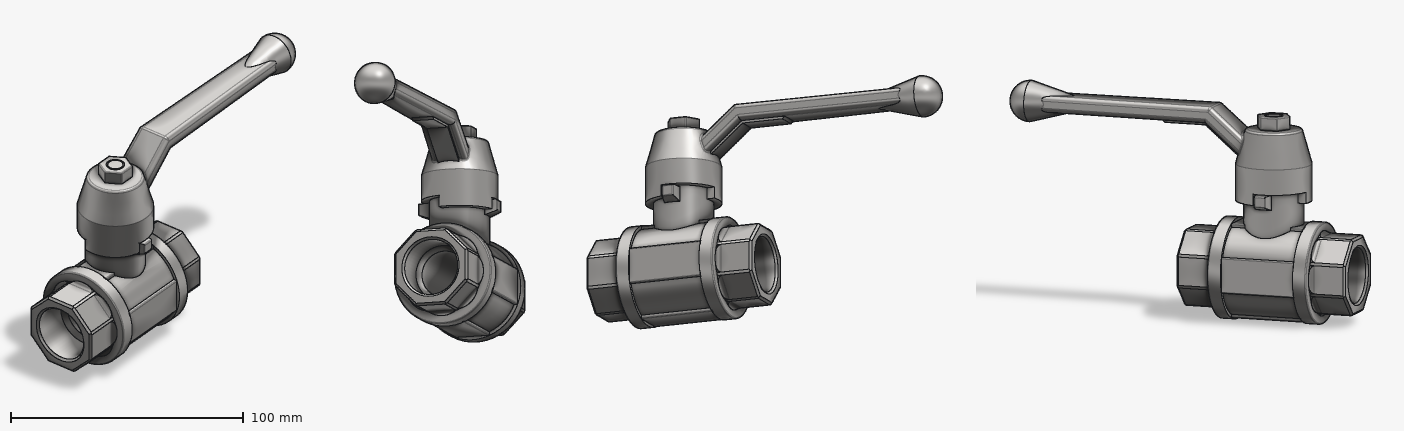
import cadquery as cq
import math


BODY_HALF_LENGTH = 38.5
FLANGE_DIAMETER = 44.0
FLANGE_INNER_Y = 16.5
FLANGE_OUTER_Y = 22.5
FLANGE_ROUNDING = 0.5
BARREL_DIAMETER = 41.0
PAD_WIDTH = 15.5
PAD_ROUNDING = 0.5
OCTAGON_FLATS = 33.3
OCTAGON_CORNER_DIAMETER = 35.5
OCTAGON_END_CHAMFER = 1.0
FLARE_LENGTH = 1.9
FLARE_WIDTH = 12.0
BORE_DIAMETER = 20.0
THREAD_DIAMETER = 24.1
THREAD_DEPTH = 15.8
THREAD_MOUTH_DIAMETER = 26.0
NECK_DIAMETER = 26.0
STUD_DIAMETER = 6.7

LUG_REACH = 17.9
LUG_ROOT_WIDTH = 7.0
LUG_TIP_WIDTH = 5.0
LUG_TOP_Z = 34.9
LUG_TIP_BOTTOM_Z = 30.1
LUG_ROOT_BOTTOM_Z = 28.4
LUG_ROUNDING = 0.5

CAP_DIAMETER = 33.0
CAP_TOP_DIAMETER = 24.4
CAP_BOTTOM_Z = 30.6
CAP_NOTCH_Z = 35.5
CAP_SHOULDER_Z = 46.6
CAP_TOP_Z = 61.7
CAP_ROUNDING = 1.1
NOTCH_STOP = 3.8

LEVER_TOP_Z = 70.5
LEVER_THICKNESS = 7.1
LEVER_END_Y = 107.0
LEVER_END_WIDTH = 13.3
LEVER_ROOT_Y = 4.8
LEVER_ROOT_WIDTH = 16.5
LEVER_ROUNDING = 2.0
LEVER_BEND_Y = 26.5
LEVER_BEND_ANGLE = 40
LEVER_BEND_ROUNDING = 1.6
CAP_BLEND = 0.8
RIB_WIDTH = 9.5
RIB_DEPTH = 1.1
RIB_END_Y = 49.1
KNOB_DIAMETER = 17.9
KNOB_TIP_Y = 120.0
KNOB_CONE_END_Y = 90.3
KNOB_CONE_END_DIAMETER = 6.7

NUT_FLATS = 12.8
NUT_HEIGHT = 5.9
NUT_ROUNDING = 0.5
NUT_HOLE_MOUTH_DIAMETER = 8

NUT_TOP_Z = CAP_TOP_Z + NUT_HEIGHT
LEVER_BOTTOM_Z = LEVER_TOP_Z - LEVER_THICKNESS
KNOB_Y = KNOB_TIP_Y - KNOB_DIAMETER / 2
KNOB_Z = LEVER_TOP_Z - LEVER_THICKNESS / 2
CLEARANCE_SIZE = 63.4


def y_cylinder(diameter, y_start, y_end, end_diameter=None):
    """Cylinder or cone along the bore axis."""
    end_radius = (end_diameter or diameter) / 2
    profile = [(0, y_start), (diameter / 2, y_start), (end_radius, y_end), (0, y_end)]
    return cq.Workplane("XY").polyline(profile).close().revolve(360, (0, 0, 0), (0, 1, 0))


def z_cylinder(diameter, z_start, z_end):
    return cq.Workplane("XY").workplane(offset=z_start).circle(diameter / 2).extrude(z_end - z_start)


def box_between(low, high):
    size = [b - a for a, b in zip(low, high)]
    return cq.Workplane("XY").box(*size, centered=False).translate(low)


def octagon_prism(flats, y_start, y_end):
    """Octagon along Y with flats facing X and Z."""
    return (
        cq.Workplane("XZ", origin=(0, y_start, 0))
        .polygon(8, flats / math.cos(math.pi / 8))
        .extrude(y_start - y_end)
        .rotate((0, 0, 0), (0, 1, 0), 22.5)
    )


def flat_flare():
    """Concave run-out from the top octagon flat up to the flange, with a bowed outer edge."""
    flat = OCTAGON_FLATS / 2
    half_width = FLARE_WIDTH / 2
    bow = (half_width**2 + FLARE_LENGTH**2) / (2 * FLARE_LENGTH)
    flare_end = FLANGE_OUTER_Y + FLARE_LENGTH
    runout = (
        cq.Workplane("YZ")
        .moveTo(FLANGE_OUTER_Y, flat - FLARE_LENGTH)
        .lineTo(flare_end, flat - FLARE_LENGTH)
        .lineTo(flare_end, flat)
        .radiusArc((FLANGE_OUTER_Y, flat + FLARE_LENGTH), FLARE_LENGTH)
        .close()
        .extrude(half_width, both=True)
    )
    bowed = y_cylinder(2 * bow, FLANGE_OUTER_Y, flare_end)
    return runout.intersect(bowed.translate((0, 0, flat + FLARE_LENGTH - bow)))


def end_connection():
    """Flange and octagonal threaded end on the +Y side."""
    octagon = octagon_prism(OCTAGON_FLATS, FLANGE_INNER_Y, BODY_HALF_LENGTH)
    octagon = octagon.faces(">Y").chamfer(OCTAGON_END_CHAMFER)
    octagon = octagon.intersect(y_cylinder(OCTAGON_CORNER_DIAMETER, FLANGE_INNER_Y, BODY_HALF_LENGTH))
    flange = y_cylinder(FLANGE_DIAMETER, FLANGE_INNER_Y, FLANGE_OUTER_Y)
    end = octagon.union(flange.faces(">Y").edges().fillet(FLANGE_ROUNDING))
    for side in range(8):
        end = end.union(flat_flare().rotate((0, 0, 0), (0, 1, 0), side * 45))
    return end


def thread_bore():
    """Threaded socket with a chamfered mouth and a conical floor on the +Y side."""
    floor_depth = (THREAD_DIAMETER - BORE_DIAMETER) / 2
    floor_y = BODY_HALF_LENGTH - THREAD_DEPTH
    chamfer = (THREAD_MOUTH_DIAMETER - THREAD_DIAMETER) / 2
    socket = y_cylinder(THREAD_DIAMETER, floor_y, BODY_HALF_LENGTH)
    floor = y_cylinder(BORE_DIAMETER, floor_y - floor_depth, floor_y, THREAD_DIAMETER)
    mouth = y_cylinder(
        THREAD_DIAMETER, BODY_HALF_LENGTH - chamfer, BODY_HALF_LENGTH, THREAD_MOUTH_DIAMETER
    )
    return socket.union(floor).union(mouth)


def lug():
    """Handle stop on the +X side of the neck, narrowing to a rounded tip."""
    profile = [
        (0, LUG_TOP_Z),
        (LUG_REACH, LUG_TOP_Z),
        (LUG_REACH, LUG_TIP_BOTTOM_Z),
        (NECK_DIAMETER / 2, LUG_ROOT_BOTTOM_Z),
        (0, LUG_ROOT_BOTTOM_Z),
    ]
    plan = [
        (0, -LUG_ROOT_WIDTH / 2),
        (NECK_DIAMETER / 2, -LUG_ROOT_WIDTH / 2),
        (LUG_REACH, -LUG_TIP_WIDTH / 2),
        (LUG_REACH, LUG_TIP_WIDTH / 2),
        (NECK_DIAMETER / 2, LUG_ROOT_WIDTH / 2),
        (0, LUG_ROOT_WIDTH / 2),
    ]
    solid = cq.Workplane("XZ").polyline(profile).close().extrude(LUG_ROOT_WIDTH, both=True)
    solid = solid.intersect(cq.Workplane("XY").polyline(plan).close().extrude(LUG_TOP_Z))
    return solid.faces(">X").edges().fillet(LUG_ROUNDING)


def barrel():
    """Round middle with a flat pad facing each of +X, -X, +Z and -Z."""
    solid = y_cylinder(BARREL_DIAMETER, -FLANGE_INNER_Y, FLANGE_INNER_Y)
    pads = cq.Workplane("XY").box(BARREL_DIAMETER, 2 * FLANGE_INNER_Y, PAD_WIDTH)
    pads = pads.edges("|Y").fillet(PAD_ROUNDING)
    return solid.union(pads).union(pads.rotate((0, 0, 0), (0, 1, 0), 90))


def make_housing():
    body = barrel().union(z_cylinder(NECK_DIAMETER, 0, CAP_NOTCH_Z))
    body = body.union(z_cylinder(STUD_DIAMETER, 0, NUT_TOP_Z))
    for turn in (0, 180):
        body = body.union(end_connection().rotate((0, 0, 0), (0, 0, 1), turn))
        body = body.union(lug().rotate((0, 0, 0), (0, 0, 1), turn))
    for turn in (0, 180):
        body = body.cut(thread_bore().rotate((0, 0, 0), (0, 0, 1), turn))
    return body.cut(y_cylinder(BORE_DIAMETER, -BODY_HALF_LENGTH, BODY_HALF_LENGTH))


def cap():
    """Tapered cap whose skirt surrounds the neck."""
    cap_profile = [
        (0, CAP_BOTTOM_Z),
        (CAP_DIAMETER / 2, CAP_BOTTOM_Z),
        (CAP_DIAMETER / 2, CAP_SHOULDER_Z),
        (CAP_TOP_DIAMETER / 2, CAP_TOP_Z),
        (0, CAP_TOP_Z),
    ]
    solid = cq.Workplane("XZ").polyline(cap_profile).close().revolve(360, (0, 0, 0), (0, 1, 0))
    return solid.faces(">Z").edges().fillet(CAP_ROUNDING)


def skirt_notch():
    """Quarter-turn gap in the skirt that swings past the -X lug."""
    reach = CLEARANCE_SIZE / 2
    return box_between((-reach, -reach, CAP_BOTTOM_Z), (-NOTCH_STOP, NOTCH_STOP, CAP_NOTCH_Z))


def bent_strip(top_z, thickness, end_y):
    """Side outline of a strip that runs level and then bends down to the stem."""
    drop = math.tan(math.radians(LEVER_BEND_ANGLE))
    miter = math.tan(math.radians(LEVER_BEND_ANGLE / 2))
    top_bend = LEVER_BEND_Y + (LEVER_TOP_Z - top_z) * miter
    bottom_z = top_z - thickness
    bottom_bend = top_bend + thickness * miter
    outline = [
        (end_y, top_z),
        (top_bend, top_z),
        (LEVER_ROOT_Y, top_z - (top_bend - LEVER_ROOT_Y) * drop),
        (LEVER_ROOT_Y, bottom_z - (bottom_bend - LEVER_ROOT_Y) * drop),
        (bottom_bend, bottom_z),
        (end_y - thickness if end_y < LEVER_END_Y else end_y, bottom_z),
    ]
    return cq.Workplane("YZ").polyline(outline).close()


def lever():
    """Bent bar that narrows toward the knob, with rounded edges."""
    bar = bent_strip(LEVER_TOP_Z, LEVER_THICKNESS, LEVER_END_Y).extrude(LEVER_ROOT_WIDTH, both=True)
    top_bend_edge = cq.selectors.NearestToPointSelector((0, LEVER_BEND_Y, LEVER_TOP_Z))
    bar = bar.edges(top_bend_edge).fillet(LEVER_BEND_ROUNDING)
    plan = [
        (-LEVER_ROOT_WIDTH / 2, LEVER_ROOT_Y),
        (LEVER_ROOT_WIDTH / 2, LEVER_ROOT_Y),
        (LEVER_END_WIDTH / 2, LEVER_END_Y),
        (-LEVER_END_WIDTH / 2, LEVER_END_Y),
    ]
    bar = bar.intersect(cq.Workplane("XY").polyline(plan).close().extrude(2 * LEVER_TOP_Z))
    return bar.faces("<X or >X").edges("not <Y").fillet(LEVER_ROUNDING)


def lever_rib():
    """Shallow rib along the underside of the lever."""
    return bent_strip(LEVER_BOTTOM_Z, RIB_DEPTH, RIB_END_Y).extrude(RIB_WIDTH / 2, both=True)


def cap_with_lever():
    """Cap and lever joined with a small blend where the lever leaves the cap."""
    joined = cap().union(lever())
    reach = CAP_DIAMETER / 2
    joint_zone = cq.selectors.BoxSelector(
        (-reach, CAP_TOP_DIAMETER / 4, CAP_NOTCH_Z), (reach, reach, CAP_TOP_Z - CAP_ROUNDING)
    )
    return joined.edges(joint_zone).fillet(CAP_BLEND)


def knob():
    """Ball with a cone that runs into the lever."""
    radius = KNOB_DIAMETER / 2
    outline = (
        cq.Workplane("XY")
        .moveTo(0, KNOB_TIP_Y)
        .radiusArc((radius, KNOB_Y), radius)
        .lineTo(KNOB_CONE_END_DIAMETER / 2, KNOB_CONE_END_Y)
        .lineTo(0, KNOB_CONE_END_Y)
        .close()
    )
    return outline.revolve(360, (0, 0, 0), (0, 1, 0)).translate((0, 0, KNOB_Z))


def make_handle():
    handle = cap_with_lever().union(lever_rib()).union(knob())
    handle = handle.cut(z_cylinder(NECK_DIAMETER, CAP_BOTTOM_Z, CAP_NOTCH_Z))
    handle = handle.cut(z_cylinder(STUD_DIAMETER, CAP_NOTCH_Z, CAP_TOP_Z))
    for turn in (0, 180):
        handle = handle.cut(skirt_notch().rotate((0, 0, 0), (0, 0, 1), turn))
    return handle


def make_nut():
    """Hexagon nut on the stud with a chamfered hole mouth."""
    nut = (
        cq.Workplane("XY", origin=(0, 0, CAP_TOP_Z))
        .polygon(6, NUT_FLATS / math.cos(math.pi / 6))
        .extrude(NUT_HEIGHT)
        .rotate((0, 0, 0), (0, 0, 1), 30)
        .edges()
        .fillet(NUT_ROUNDING)
        .cut(z_cylinder(STUD_DIAMETER, CAP_TOP_Z, NUT_TOP_Z))
    )
    mouth_chamfer = (NUT_HOLE_MOUTH_DIAMETER - STUD_DIAMETER) / 2
    return nut.faces(">Z").edges("%CIRCLE").chamfer(mouth_chamfer)


housing = make_housing()
handle = make_handle()
nut = make_nut()

result = cq.Compound.makeCompound([housing.val(), handle.val(), nut.val()])